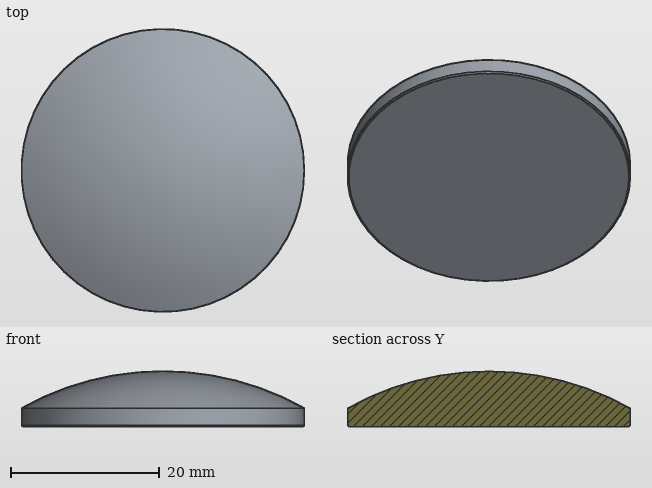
import cadquery as cq
import math

diameter = 38.1
center_thickness = 7.5
edge_thickness = 2.5
chamfer = 0.202

radius = diameter / 2
dome_height = center_thickness - edge_thickness
dome_radius = (radius**2 + dome_height**2) / (2 * dome_height)

mid_x = radius / 2
mid_z = center_thickness - dome_radius + math.sqrt(dome_radius**2 - mid_x**2)

result = (
    cq.Workplane("XZ")
    .lineTo(radius - chamfer, 0)
    .lineTo(radius, chamfer)
    .lineTo(radius, edge_thickness)
    .threePointArc((mid_x, mid_z), (0, center_thickness))
    .close()
    .revolve(360, (0, 0, 0), (0, 1, 0))
)